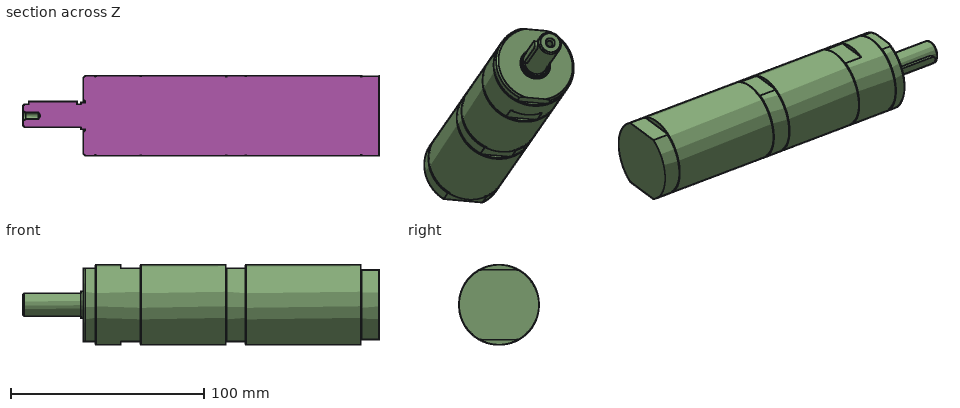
import cadquery as cq
import math

overall_length = 184.2
body_diameter = 41.5

shaft_diameter = 12.0
tip_chamfer = 0.8

center_hole_diameter = 3.24
center_hole_depth = 8.0
drill_point_angle = 118.0
countersink_diameter = 5.0
countersink_angle = 60.0

key_width = 4.0
key_height = 4.0
key_length = 25.0
key_start = 3.0
key_protrusion = 1.5

collar_start = 30.0
collar_diameter = 14.0
recess_diameter = 14.95
recess_mouth_diameter = 16.0
recess_mouth_depth = 0.5
recess_depth = 1.0

body_start = 31.2
flange_joint = 37.4
gearbox_joint = 60.7
middle_joint = 105.0
motor_joint = 115.0
cap_joint = 174.8
front_chamfer = 1.0
joint_chamfer = 0.5

ring_flat_start = 50.7
gear_flat_distance = 38.0
cap_flat_distance = 36.0
wrench_flats = [
    (body_start, flange_joint, gear_flat_distance),
    (ring_flat_start, gearbox_joint, gear_flat_distance),
    (middle_joint, motor_joint, gear_flat_distance),
    (cap_joint, overall_length, cap_flat_distance),
]


def cylinder(start, end, diameter):
    """Solid cylinder along X."""
    return cq.Workplane("YZ", origin=(start, 0, 0)).circle(diameter / 2).extrude(end - start)


def make_body():
    """Row of housing sections, each with a chamfer around its front end."""
    joints = [flange_joint, gearbox_joint, middle_joint, motor_joint, cap_joint]
    ends = joints[1:] + [overall_length]
    body = cylinder(body_start, flange_joint, body_diameter).faces("<X").edges().chamfer(front_chamfer)
    for start, end in zip(joints, ends):
        section = cylinder(start, end, body_diameter).faces("<X").edges().chamfer(joint_chamfer)
        body = body.union(section)
    return body


def cut_flats(body):
    """Pairs of wrench flats across Z."""
    for start, end, distance in wrench_flats:
        length = end - start
        blank = cq.Workplane("XY").box(length, body_diameter, body_diameter)
        core = cq.Workplane("XY").box(length, body_diameter, distance)
        body = body.cut(blank.cut(core).translate(((start + end) / 2, 0, 0)))
    return body


def make_recess():
    """Stepped round recess in the front face."""
    inner = cylinder(body_start, body_start + recess_depth, recess_diameter)
    mouth = cylinder(body_start, body_start + recess_mouth_depth, recess_mouth_diameter)
    return inner.union(mouth)


def make_center_hole():
    """Countersunk center hole ending in a drill point."""
    radius = center_hole_diameter / 2
    countersink_radius = countersink_diameter / 2
    countersink_depth = (countersink_radius - radius) / math.tan(math.radians(countersink_angle / 2))
    point_length = radius / math.tan(math.radians(drill_point_angle / 2))
    profile = [
        (0, 0),
        (0, countersink_radius),
        (countersink_depth, radius),
        (center_hole_depth, radius),
        (center_hole_depth + point_length, 0),
    ]
    return cq.Workplane("XY").polyline(profile).close().revolve(360, (0, 0, 0), (1, 0, 0))


def make_shaft():
    """Shaft with chamfered tip and root collar, reaching the recess floor."""
    root = body_start + recess_depth
    shaft = cylinder(0, root, shaft_diameter).faces("<X").edges().chamfer(tip_chamfer)
    return shaft.union(cylinder(collar_start, root, collar_diameter))


def make_key():
    """Round-ended parallel key, seated in the shaft."""
    key_top = shaft_diameter / 2 + key_protrusion
    key = cq.Workplane("XZ", origin=(key_start + key_length / 2, key_top, 0))
    return key.slot2D(key_length, key_width).extrude(key_height)


housing = cut_flats(make_body()).cut(make_recess())
output_shaft = make_shaft().union(make_key()).cut(make_center_hole())
result = housing.union(output_shaft)